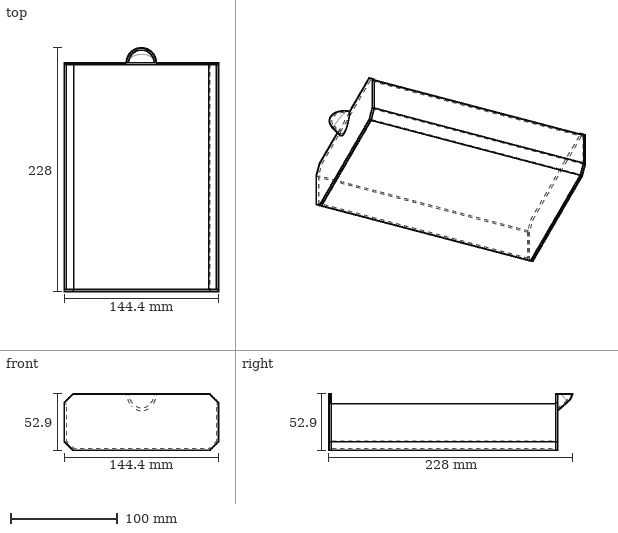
import cadquery as cq
import math

width = 144.39
height = 52.9
length = 214.0
sheet = 2.0

corner = 8.32

wall_top = height - corner - sheet * math.tan(math.radians(22.5))

pull_reach = 14.0
pull_wall = 2.0
pull_rise = 3.5
pull_slope = 41.0

pull_radius = math.hypot(pull_reach, pull_rise)


def octagon(inset):
    """Corner-cut rectangle over the whole tray length, with every face moved inwards by inset."""
    cut = corner - inset * (2 - math.sqrt(2))
    return (
        cq.Workplane("XZ", origin=(0, length, height / 2))
        .rect(width - 2 * inset, height - 2 * inset)
        .extrude(length)
        .edges("|Y")
        .chamfer(cut)
    )


def slab(start, depth, top):
    """Block as wide as the tray, from y = start over depth, reaching from z = 0 up to top."""
    return cq.Workplane("XY", origin=(0, start, 0)).box(
        width, depth, top, centered=(True, False, False)
    )


def make_trough():
    """Floor, sloped bends and side walls folded from one sheet, between the end panels."""
    tube = octagon(0).cut(octagon(sheet))
    return tube.intersect(slab(sheet, length - 2 * sheet, wall_top))


def make_end_panel(start):
    """Flat panel with the full end outline, its front face at y = start."""
    return octagon(0).intersect(slab(start, sheet, height))


def capsule(radius):
    """Ball with a round bar running from it down and inwards along the pull's slope."""
    slope = math.radians(pull_slope)
    centre = cq.Vector(0, length, height + pull_rise)
    inward = cq.Vector(0, -math.cos(slope), -math.sin(slope))
    ball = cq.Workplane(obj=cq.Solid.makeSphere(radius, centre, cq.Vector(0, 0, 1), -90, 90, 360))
    bar = cq.Workplane(obj=cq.Solid.makeCylinder(radius, height, centre, inward))
    return ball.union(bar)


def make_pull():
    """Scoop shell, trimmed flush with the rim and with the back panel."""
    shell = capsule(pull_radius).cut(capsule(pull_radius - pull_wall))
    return shell.intersect(slab(length, 2 * pull_reach, height))


trough = make_trough()
end_panels = [make_end_panel(start) for start in (0, length - sheet)]
pull = make_pull()

result = cq.Compound.makeCompound(
    [trough.val(), *[panel.val() for panel in end_panels], pull.val()]
)